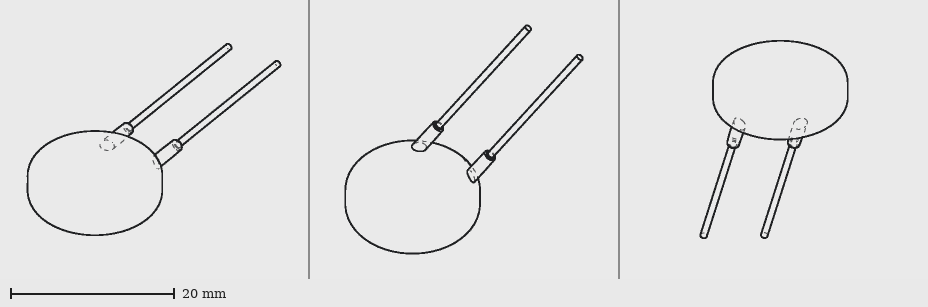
import cadquery as cq

overall_length = 40.0
disc_diameter = 16.5
disc_thickness = 4.3
disc_edge_radius = 1.0
disc_radius = disc_diameter / 2

lead_offset_x = 3.75
lead_offset_z = 0.5
wire_diameter = 0.85
wire_end_y = overall_length - disc_radius

sleeve_root_diameter = 1.6
sleeve_tip_diameter = 1.5
sleeve_taper_y = 9.6
sleeve_end_y = 11.7
sleeve_end_chamfer = 0.15
lead_root_y = 4.0


def make_disc():
    disc = cq.Workplane("XY").circle(disc_radius).extrude(disc_thickness / 2, both=True)
    return disc.edges("%CIRCLE").fillet(disc_edge_radius)


def make_lead(x, z):
    """Revolve the stepped lead profile about its own Y-parallel axis."""
    wire_radius = wire_diameter / 2
    root_radius = sleeve_root_diameter / 2
    tip_radius = sleeve_tip_diameter / 2
    profile = (
        cq.Workplane("XY")
        .moveTo(0, lead_root_y)
        .lineTo(root_radius, lead_root_y)
        .lineTo(root_radius, sleeve_taper_y)
        .lineTo(tip_radius, sleeve_end_y - sleeve_end_chamfer)
        .lineTo(tip_radius - sleeve_end_chamfer, sleeve_end_y)
        .lineTo(wire_radius, sleeve_end_y)
        .lineTo(wire_radius, wire_end_y)
        .lineTo(0, wire_end_y)
        .close()
    )
    return profile.revolve(360, (0, 0, 0), (0, 1, 0)).translate((x, 0, z))


result = make_disc()
for side in (-1, 1):
    result = result.union(make_lead(side * lead_offset_x, side * lead_offset_z))